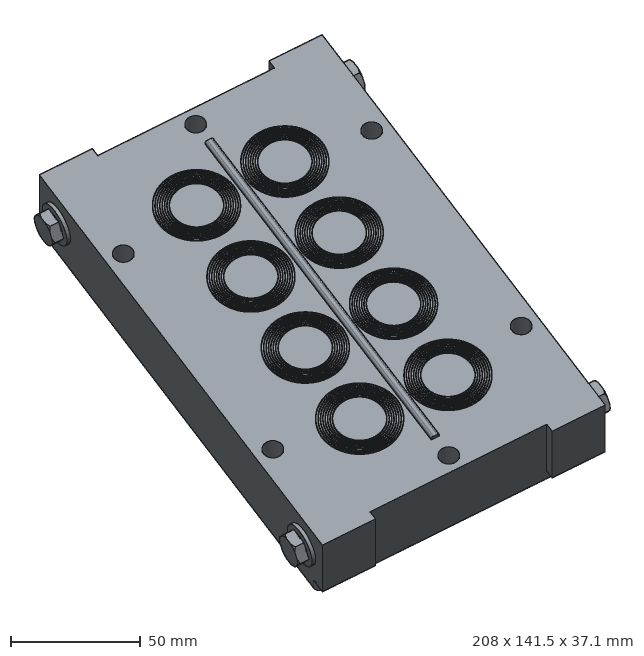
import cadquery as cq


BODY_LENGTH = 208.0
BODY_WIDTH = 128.0
BODY_HEIGHT = 30.4
BASE_HEIGHT = 5.0
BASE_LENGTH = 200.0
BASE_CORNER_RADIUS = 2.5
BODY_TOP = BASE_HEIGHT + BODY_HEIGHT

MODULE_SIZE = 40.0
MODULE_COLUMNS = 4
MODULE_ROWS = 2
RECESS_WIDTH = MODULE_ROWS * MODULE_SIZE

RING_OUTER_DIAMETER = 34.1
RING_INNER_DIAMETER = 20.8
GROOVE_COUNT = 8
GROOVE_WIDTH = 0.2
GROOVE_DEPTH = 0.5

RIB_LENGTH = 166.2
RIB_WIDTH = 3.7
RIB_HEIGHT = 1.7
RIB_EDGE_RADIUS = 1.0

HOLE_DIAMETER = 8.3
SIDE_HOLE_X = 55.0
SIDE_HOLE_Y = 56.2
END_HOLE_X = 93.0

TOTAL_WIDTH = 141.5
BOLT_X = 90.0
BOLT_BELOW_TOP = 15.2
WASHER_DIAMETER = 18.0
WASHER_THICKNESS = 1.7
COLLAR_DIAMETER = 11.5
COLLAR_THICKNESS = 0.5
HEAD_ACROSS_CORNERS = 15.0
HEAD_CHAMFER = 0.8
HEAD_TIP = (TOTAL_WIDTH - BODY_WIDTH) / 2


def make_base_plate():
    plate = cq.Workplane("XY").box(BASE_LENGTH, BODY_WIDTH, BASE_HEIGHT, centered=(True, True, False))
    return plate.edges("|Z").fillet(BASE_CORNER_RADIUS)


def make_body():
    body = cq.Workplane("XY", origin=(0, 0, BASE_HEIGHT))
    body = body.rect(BODY_LENGTH, BODY_WIDTH).extrude(BODY_HEIGHT)
    recess_depth = (BODY_LENGTH - BASE_LENGTH) / 2
    recess_x = (BODY_LENGTH - recess_depth) / 2
    recesses = (
        cq.Workplane("XY", origin=(0, 0, BASE_HEIGHT))
        .pushPoints([(-recess_x, 0), (recess_x, 0)])
        .rect(recess_depth, RECESS_WIDTH)
        .extrude(BODY_HEIGHT)
    )
    return body.cut(recesses)


def make_rib():
    rib = cq.Workplane("XY", origin=(0, 0, BODY_TOP)).rect(RIB_LENGTH, RIB_WIDTH).extrude(RIB_HEIGHT)
    return rib.faces(">Z").edges("|X").fillet(RIB_EDGE_RADIUS)


def make_bolts():
    """One bolt at each end of the -Y side, mirrored onto the +Y side."""
    side = cq.Workplane("XZ", origin=(0, -BODY_WIDTH / 2, BODY_TOP - BOLT_BELOW_TOP))
    centers = [(-BOLT_X, 0), (BOLT_X, 0)]
    head_start = WASHER_THICKNESS + COLLAR_THICKNESS
    washers = side.pushPoints(centers).circle(WASHER_DIAMETER / 2).extrude(WASHER_THICKNESS)
    collars = side.pushPoints(centers).circle(COLLAR_DIAMETER / 2).extrude(head_start)
    heads = (
        side.workplane(offset=head_start)
        .pushPoints(centers)
        .polygon(6, HEAD_ACROSS_CORNERS)
        .extrude(HEAD_TIP - head_start)
    )
    chamfered_rounds = (
        side.pushPoints(centers)
        .circle(HEAD_ACROSS_CORNERS / 2)
        .extrude(HEAD_TIP)
        .faces("<Y")
        .chamfer(HEAD_CHAMFER)
    )
    heads = heads.intersect(chamfered_rounds)
    bolts = washers.union(collars).union(heads)
    return bolts.union(bolts.mirror("XZ"))


def make_ring_grooves():
    """Concentric circular grooves in the top face, one set per module."""
    outer_radius = RING_OUTER_DIAMETER / 2
    pitch = (outer_radius - GROOVE_WIDTH - RING_INNER_DIAMETER / 2) / (GROOVE_COUNT - 1)
    centers = cq.Workplane("XY", origin=(0, 0, BODY_TOP - GROOVE_DEPTH)).rarray(
        MODULE_SIZE, MODULE_SIZE, MODULE_COLUMNS, MODULE_ROWS
    )
    grooves = []
    for layer in range(GROOVE_COUNT):
        radius = outer_radius - layer * pitch
        grooves.append(centers.circle(radius).circle(radius - GROOVE_WIDTH).extrude(GROOVE_DEPTH))
    return grooves


def make_mounting_holes():
    centers = [(x, y) for x in (-SIDE_HOLE_X, SIDE_HOLE_X) for y in (-SIDE_HOLE_Y, SIDE_HOLE_Y)]
    centers += [(-END_HOLE_X, 0), (END_HOLE_X, 0)]
    return cq.Workplane("XY").pushPoints(centers).circle(HOLE_DIAMETER / 2).extrude(BODY_TOP)


result = make_base_plate().union(make_body()).union(make_rib()).union(make_bolts())
result = result.cut(make_mounting_holes())
for groove in make_ring_grooves():
    result = result.cut(groove)